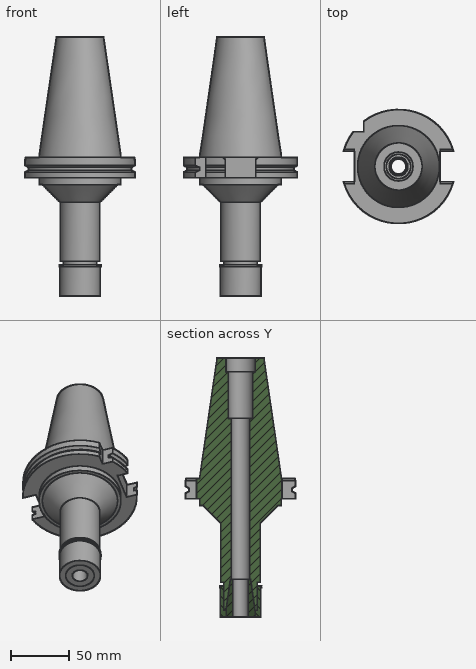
import cadquery as cq
import math


taper_length = 101.8
gauge_radius = 35.0
taper_slope = 7 / 48
taper_top_radius = gauge_radius - taper_length * taper_slope

flange_radius = 48.8
flange_top = -1.3
flange_bottom = -18.8
groove_centre = -11.0
groove_mouth_width = 5.8
groove_floor_radius = 46.0
groove_flank_angle = math.radians(30)
groove_flank_height = (flange_radius - groove_floor_radius) * math.tan(groove_flank_angle)
groove_top = groove_centre + groove_mouth_width / 2
groove_bottom = groove_centre - groove_mouth_width / 2

slot_width = 25.7
slot_floor_left = 37.7
slot_floor_right = 35.5
slot_chamfer = 2.0
notch_corner = 29.7

tool_length = 221.8
tool_end = taper_length - tool_length
collar_bottom = -24.6
cone_bottom = -39.7
shank_radius = 17.0
cone_top_radius = shank_radius + collar_bottom - cone_bottom
shank_bottom = -90.3
spigot_radius = 14.5

entry_radius = 12.5
entry_depth = 12.0
thread_radius = 10.5
thread_depth = 40.0
bore_radius = 7.8

nut_radius = 17.5
nut_top = -93.1
nut_rim_radius = 18.0
nut_rim_height = 1.8
nut_lip = 5.5
spigot_bottom = tool_end + nut_lip

collet_bore_radius = 6.5
collet_mouth_radius = 12.2
collet_top_radius = 8.5
collet_taper_angle = math.radians(8)
collet_taper_length = (collet_mouth_radius - collet_top_radius) / math.tan(collet_taper_angle)
collet_top = spigot_bottom + collet_taper_length


def revolve_profile(points):
    """Revolve a closed (radius, z) outline around the Z axis."""
    return cq.Workplane("XZ").polyline(points).close().revolve(360, (0, 0, 0), (0, 1, 0))


def cylinder(radius, bottom, top):
    return cq.Workplane("XY").workplane(offset=bottom).circle(radius).extrude(top - bottom)


def make_holder_blank():
    return revolve_profile([
        (0, taper_length),
        (taper_top_radius, taper_length),
        (gauge_radius, 0),
        (gauge_radius, flange_top),
        (flange_radius, flange_top),
        (flange_radius, groove_top),
        (groove_floor_radius, groove_top - groove_flank_height),
        (groove_floor_radius, groove_bottom + groove_flank_height),
        (flange_radius, groove_bottom),
        (flange_radius, flange_bottom),
        (gauge_radius, flange_bottom),
        (gauge_radius, collar_bottom),
        (cone_top_radius, collar_bottom),
        (shank_radius, cone_bottom),
        (shank_radius, shank_bottom),
        (spigot_radius, shank_bottom),
        (spigot_radius, spigot_bottom),
        (0, spigot_bottom),
    ])


def make_drive_slot(floor_distance, side):
    """Slot cutter on the +X (side = 1) or -X (side = -1) edge, flared at the flange top."""
    half_width = slot_width / 2
    half_mouth = half_width + slot_chamfer
    return (
        cq.Workplane("YZ")
        .workplane(offset=side * floor_distance)
        .polyline([
            (-half_width, flange_bottom),
            (half_width, flange_bottom),
            (half_width, flange_top - slot_chamfer),
            (half_mouth, flange_top),
            (-half_mouth, flange_top),
            (-half_width, flange_top - slot_chamfer),
        ])
        .close()
        .extrude(side * flange_radius)
    )


def make_notch():
    """Square-cornered cutter through the flange in the -X, +Y quadrant."""
    return (
        cq.Workplane("XY")
        .workplane(offset=flange_bottom)
        .moveTo(-notch_corner, notch_corner)
        .rect(-flange_radius, flange_radius, centered=False)
        .extrude(flange_top - flange_bottom)
    )


def make_collet_envelope():
    """Solid outer shape of the collet: a cone, then a straight end inside the nut lip."""
    return revolve_profile([
        (0, collet_top),
        (collet_top_radius, collet_top),
        (collet_mouth_radius, spigot_bottom),
        (collet_mouth_radius, tool_end),
        (0, tool_end),
    ])


def make_holder():
    entry_bottom = taper_length - entry_depth
    thread_bottom = entry_bottom - thread_depth
    return (
        make_holder_blank()
        .cut(make_drive_slot(slot_floor_left, -1))
        .cut(make_drive_slot(slot_floor_right, 1))
        .cut(make_notch())
        .cut(cylinder(entry_radius, entry_bottom, taper_length))
        .cut(cylinder(thread_radius, thread_bottom, entry_bottom))
        .cut(cylinder(bore_radius, spigot_bottom, thread_bottom))
        .cut(make_collet_envelope())
    )


def make_nut():
    """Nut around the spigot, with a slightly wider rim on top and a lip around the collet."""
    rim_bottom = nut_top - nut_rim_height
    return (
        cylinder(nut_radius, tool_end, rim_bottom)
        .union(cylinder(nut_rim_radius, rim_bottom, nut_top))
        .cut(cylinder(spigot_radius, spigot_bottom, nut_top))
        .cut(cylinder(collet_mouth_radius, tool_end, spigot_bottom))
    )


def make_collet():
    return make_collet_envelope().cut(cylinder(collet_bore_radius, tool_end, collet_top))


holder = make_holder()
nut = make_nut()
collet = make_collet()

result = cq.Compound.makeCompound([holder.val(), nut.val(), collet.val()])